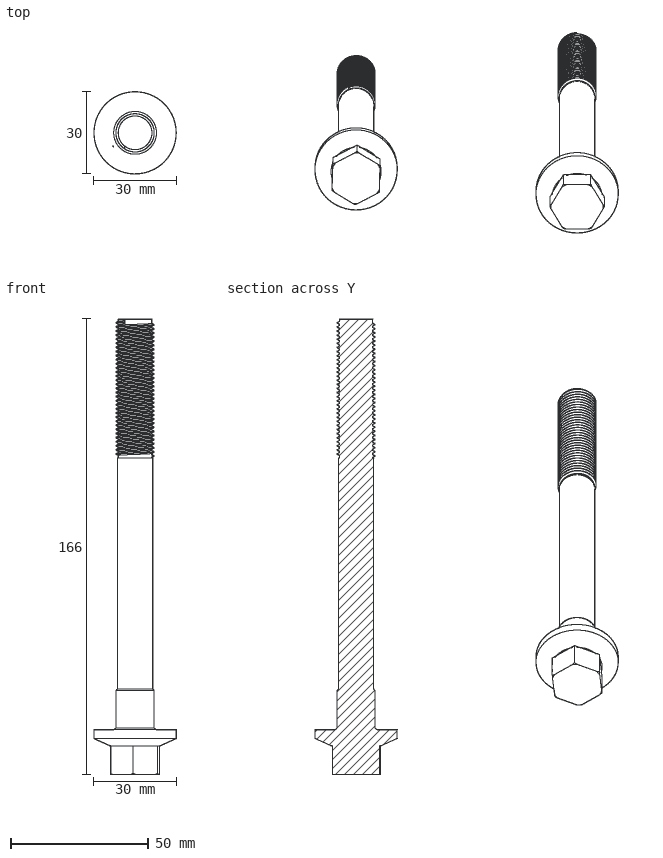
import cadquery as cq

TOTAL_LENGTH = 166.0

HEX_CORNER_DIAMETER = 20.0
HEX_HEIGHT = 10.5
HEX_TURN = 86.0
HEX_BOTTOM_CHAMFER = 0.5

FLANGE_DIAMETER = 30.0
FLANGE_TOP = 16.5
RIM_HEIGHT = 3.3
CONE_SMALL_DIAMETER = 18.3

SHOULDER_DIAMETER = 14.0
SHOULDER_TOP = 31.2
SHOULDER_CHAMFER = 0.5
ROOT_COLLAR = 0.8
ROOT_COLLAR_HEIGHT = 0.5
SHANK_DIAMETER = 13.0

THREAD_DIAMETER = 14.0
THREAD_ROOT_DIAMETER = 12.3
THREAD_PITCH = 1.5
THREAD_LENGTH = 50.7
CREST_WIDTH = THREAD_PITCH / 8
RIDGE_BASE_WIDTH = THREAD_PITCH * 0.85
LOWER_GAP = 0.08
PLAIN_TIP = 0.5
RIDGE_OVERLAP = 0.2

thread_bottom = TOTAL_LENGTH - THREAD_LENGTH
root_radius = THREAD_ROOT_DIAMETER / 2


def make_head():
    """Hexagon with its bottom corners bevelled by a cone."""
    hexagon = (
        cq.Workplane("XY")
        .polygon(6, HEX_CORNER_DIAMETER)
        .extrude(HEX_HEIGHT)
        .rotate((0, 0, 0), (0, 0, 1), HEX_TURN)
    )
    bevel = (
        cq.Workplane("XY")
        .circle(HEX_CORNER_DIAMETER / 2)
        .extrude(HEX_HEIGHT)
        .faces("<Z")
        .chamfer(HEX_BOTTOM_CHAMFER)
    )
    return hexagon.intersect(bevel)


def make_body():
    """Flange, shoulder, plain shank and thread core as one revolved profile."""
    flange_radius = FLANGE_DIAMETER / 2
    shoulder_radius = SHOULDER_DIAMETER / 2
    shank_radius = SHANK_DIAMETER / 2
    profile = [
        (0, HEX_HEIGHT),
        (CONE_SMALL_DIAMETER / 2, HEX_HEIGHT),
        (flange_radius, FLANGE_TOP - RIM_HEIGHT),
        (flange_radius, FLANGE_TOP),
        (shoulder_radius + ROOT_COLLAR, FLANGE_TOP),
        (shoulder_radius, FLANGE_TOP + ROOT_COLLAR_HEIGHT),
        (shoulder_radius, SHOULDER_TOP - SHOULDER_CHAMFER),
        (shank_radius, SHOULDER_TOP),
        (shank_radius, thread_bottom),
        (root_radius, thread_bottom),
        (root_radius, TOTAL_LENGTH),
        (0, TOTAL_LENGTH),
    ]
    return cq.Workplane("XZ").polyline(profile).close().revolve(360, (0, 0), (0, 1))


def make_thread_ridge():
    """Right-hand helical ridge standing on the core, square at both ends."""
    inner = root_radius - RIDGE_OVERLAP
    crest = THREAD_DIAMETER / 2
    half_base = RIDGE_BASE_WIDTH / 2
    half_crest = CREST_WIDTH / 2
    helix_height = THREAD_LENGTH - RIDGE_BASE_WIDTH - LOWER_GAP - PLAIN_TIP
    path = cq.Wire.makeHelix(THREAD_PITCH, helix_height, root_radius)
    section = [
        (inner, -half_base),
        (crest, -half_crest),
        (crest, half_crest),
        (inner, half_base),
    ]
    ridge = cq.Workplane("XZ").polyline(section).close().sweep(cq.Workplane(path), isFrenet=True)
    return ridge.translate((0, 0, thread_bottom + LOWER_GAP + half_base))


result = make_head().union(make_body()).union(make_thread_ridge())